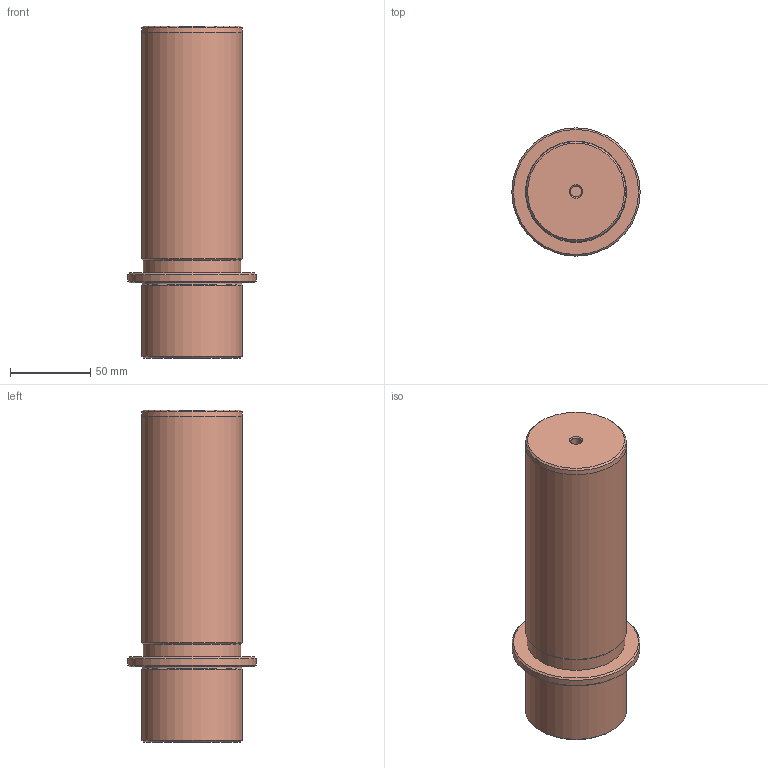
import cadquery as cq

total_height = 207.0
pillar_radius = 31.5
flange_radius = 40.0

shank_chamfer = 1.0
undercut_bottom = 45.5
undercut_depth = 0.5
undercut_chamfer = 0.5

flange_bottom = 47.0
flange_thickness = 6.0
flange_chamfer = 1.0

neck_depth = 1.0
neck_top = 61.0
neck_chamfer = 1.0

lead_in_height = 4.0
lead_in_depth = 0.3
top_chamfer = 1.0

hole_radius = 3.4
hole_depth = 15.0
hole_mouth_radius = 4.25

flange_top = flange_bottom + flange_thickness
undercut_radius = pillar_radius - undercut_depth
neck_radius = pillar_radius - neck_depth
lead_in_start = total_height - lead_in_height
lead_in_radius = pillar_radius - lead_in_depth


def make_pillar():
    """Revolve the stepped half outline about the Z axis."""
    return (
        cq.Workplane("XZ")
        .moveTo(0, 0)
        .lineTo(pillar_radius - shank_chamfer, 0)
        .lineTo(pillar_radius, shank_chamfer)
        .lineTo(pillar_radius, undercut_bottom)
        .lineTo(undercut_radius, undercut_bottom + undercut_chamfer)
        .lineTo(undercut_radius, flange_bottom)
        .lineTo(flange_radius - flange_chamfer, flange_bottom)
        .lineTo(flange_radius, flange_bottom + flange_chamfer)
        .lineTo(flange_radius, flange_top - flange_chamfer)
        .lineTo(flange_radius - flange_chamfer, flange_top)
        .lineTo(neck_radius, flange_top)
        .lineTo(neck_radius, neck_top)
        .lineTo(pillar_radius, neck_top + neck_chamfer)
        .lineTo(pillar_radius, lead_in_start)
        .lineTo(lead_in_radius, total_height - top_chamfer)
        .lineTo(lead_in_radius - top_chamfer, total_height)
        .lineTo(0, total_height)
        .close()
        .revolve(360, (0, 0, 0), (0, 1, 0))
    )


def make_centre_hole():
    """Blind round hole with a 45 degree countersunk mouth."""
    mouth_bottom = total_height - (hole_mouth_radius - hole_radius)
    return (
        cq.Workplane("XZ")
        .moveTo(0, total_height - hole_depth)
        .lineTo(hole_radius, total_height - hole_depth)
        .lineTo(hole_radius, mouth_bottom)
        .lineTo(hole_mouth_radius, total_height)
        .lineTo(0, total_height)
        .close()
        .revolve(360, (0, 0, 0), (0, 1, 0))
    )


result = make_pillar().cut(make_centre_hole())